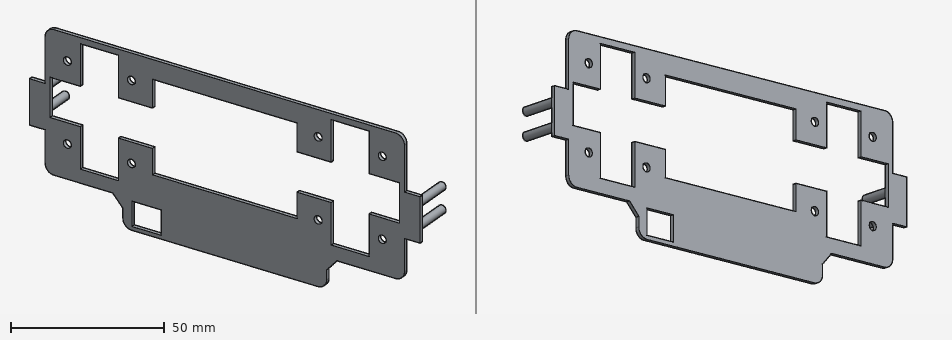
import cadquery as cq

total_width = 152.0
total_height = 65.0
plate_thickness = 1.5
body_width = 139.9
body_height = 53.4
corner_radius = 3.5

tongue_width = 79.4
shoulder_width = 4.0
shoulder_height = 4.4

tab_height = 17.0
tab_center_z = -29.2
pin_diameter = 3.2
pin_length = 15.7
pin_inset = 2.7
pin_spacing = tab_height / 2

opening_center_z = -25.2
arm_width = 14.8
cross_bar_length = 136.0
slot_height = 46.0
slot_center_x = 48.8
window_width = 56.3
window_top = -7.3
window_bottom = -42.3

hole_diameter = 3.0
hole_spacing_x = 25.0
hole_spacing_z = 30.4

port_width = 11.4
port_height = 9.3
port_center_x = -30.4
port_center_z = -58.9


def block(width, height, x, z):
    """Rectangular block of plate thickness centred at (x, z)."""
    return cq.Workplane("XY").box(width, plate_thickness, height).translate((x, plate_thickness / 2, z))


def rod(diameter, length, x, z):
    """Cylinder running from the front face towards +Y."""
    return cq.Workplane("XZ").center(x, z).circle(diameter / 2).extrude(-length)


def make_plate():
    body = block(body_width, body_height, 0, -body_height / 2).edges("|Y").fillet(corner_radius)
    tongue = block(tongue_width, total_height, 0, -total_height / 2)
    tongue = tongue.edges("|Y and <Z").fillet(corner_radius)
    half_tongue = tongue_width / 2
    half_shoulder = half_tongue + shoulder_width
    shoulders = (
        cq.Workplane("XZ")
        .moveTo(-half_shoulder, -body_height)
        .lineTo(half_shoulder, -body_height)
        .lineTo(half_tongue, -body_height - shoulder_height)
        .lineTo(-half_tongue, -body_height - shoulder_height)
        .close()
        .extrude(-plate_thickness)
    )
    tabs = block(total_width, tab_height, 0, tab_center_z)
    return body.union(tongue).union(shoulders).union(tabs)


def cut_openings(plate):
    window_height = window_top - window_bottom
    plate = plate.cut(block(window_width, window_height, 0, (window_top + window_bottom) / 2))
    plate = plate.cut(block(cross_bar_length, arm_width, 0, opening_center_z))
    for side in (-1, 1):
        plate = plate.cut(block(arm_width, slot_height, side * slot_center_x, opening_center_z))
    return plate.cut(block(port_width, port_height, port_center_x, port_center_z))


def cut_screw_holes(plate):
    for slot_x in (-slot_center_x, slot_center_x):
        for side_x in (-1, 1):
            for side_z in (-1, 1):
                x = slot_x + side_x * hole_spacing_x / 2
                z = opening_center_z + side_z * hole_spacing_z / 2
                plate = plate.cut(rod(hole_diameter, plate_thickness, x, z))
    return plate


def add_pins(plate):
    for side_x in (-1, 1):
        for side_z in (-1, 1):
            x = side_x * (total_width / 2 - pin_inset)
            z = tab_center_z + side_z * pin_spacing / 2
            plate = plate.union(rod(pin_diameter, plate_thickness + pin_length, x, z))
    return plate


result = add_pins(cut_screw_holes(cut_openings(make_plate())))